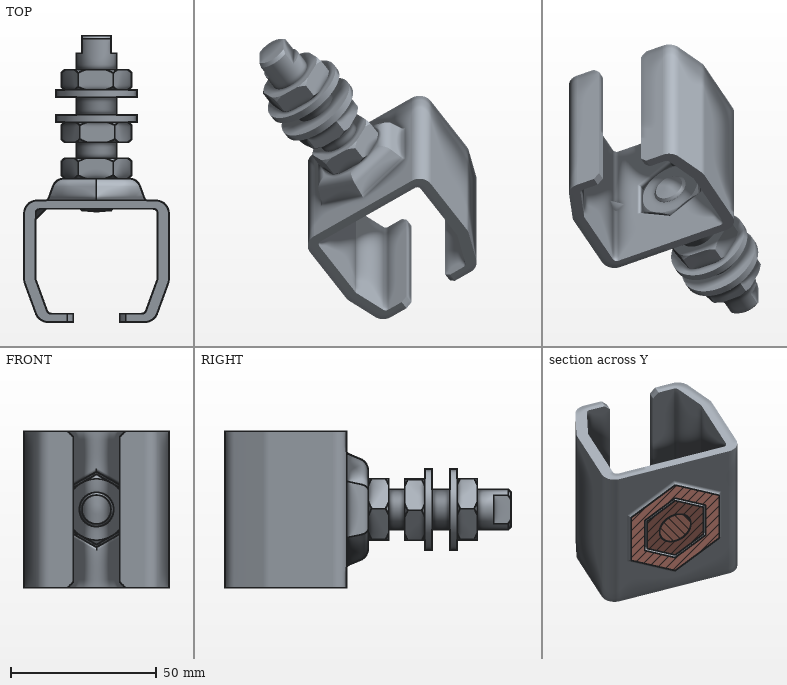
import cadquery as cq
import math


channel_width = 50.0
channel_depth = 42.0
channel_height = 54.0
side_thickness = 4.0
web_thickness = 3.0
lip_thickness = 3.0
slot_width = 16.0
side_lean = math.radians(20.0)
kink_depth = 27.8
bend_radius = 4.7
inner_bend_radius = 1.4
lip_chamfer = 2.0
half_width = channel_width / 2
half_inner = half_width - side_thickness
edge_reach = 0.1

boss_height = 7.5
boss_base_flats = 33.6
boss_draft = 20.0
boss_top_radius = 4.0
boss_base_radius = 1.0
boss_floor_thickness = web_thickness
recess_flats = 22.6
recess_mouth_radius = 1.0
floor_y = boss_height - boss_floor_thickness

rib_leg = 3.6
rib_half_height = 4.5
rib_root = 1.0

thread_diameter = 14.0
core_diameter = 11.84
clearance_diameter = 14.2
nut_flats = 21.0
nut_thickness = 7.0
nut_corners = nut_flats / math.cos(math.pi / 6)
nut_face_diameter = 22.0
recessed_nut_face_diameter = 21.1
nut_chamfer_angle = math.radians(45.0)
recessed_nut_chamfer_angle = math.radians(30.0)
washer_diameter = 28.0
washer_thickness = 2.5

stud_end_y = 56.67
stud_chamfer = (thread_diameter - core_diameter) / 2
drive_flats = 10.0
drive_length = 6.0
tip_start_y = -2.6
tip_chamfer = 0.92
tip_cone_height = 0.4

corners_on_z = 30.0
nut_turn = 1.6
inner_nut_y = floor_y - nut_thickness
clamp_nut_y = boss_height
middle_nut_y = 19.95
outer_nut_y = 38.0
nut_places = [
    (clamp_nut_y, -nut_turn),
    (middle_nut_y, nut_turn),
    (outer_nut_y, -nut_turn),
]
washer_places = [
    middle_nut_y + nut_thickness,
    outer_nut_y - washer_thickness,
]


def plane_at(y):
    """Sketch plane across the stud at position y, with its normal along +Y."""
    return cq.Plane(origin=(0, y, 0), xDir=(1, 0, 0), normal=(0, 1, 0))


def cylinder(y, diameter, length):
    return cq.Workplane(plane_at(y)).circle(diameter / 2).extrude(length)


def hexagon(y, flats, length, turn, taper=0.0):
    """Hexagonal prism along +Y; turn 0 puts a corner on X, turn 30 on Z."""
    corners = flats / math.cos(math.pi / 6)
    plane = plane_at(y).rotated((0, 0, turn))
    return cq.Workplane(plane).polygon(6, corners).extrude(length, taper=taper)


def bent_channel():
    """Bent channel over its full height, without the boss and the recess."""
    inward_slope = math.tan(side_lean)
    kink_rise = side_thickness * math.tan(side_lean / 2)
    inner_kink = kink_depth - kink_rise
    lip_inner = channel_depth - lip_thickness
    outer_foot = half_width - (channel_depth - kink_depth) * inward_slope
    inner_foot = half_inner - (lip_inner - inner_kink) * inward_slope
    half_slot = slot_width / 2
    right_side = [
        (half_width, 0),
        (half_width, -kink_depth),
        (outer_foot, -channel_depth),
        (half_slot, -channel_depth),
        (half_slot, -lip_inner),
        (inner_foot, -lip_inner),
        (half_inner, -inner_kink),
        (half_inner, -web_thickness),
    ]
    left_side = [(-x, y) for x, y in reversed(right_side)]
    body = (
        cq.Workplane("XY")
        .polyline(right_side + left_side)
        .close()
        .extrude(channel_height / 2, both=True)
    )

    def upright_edges(points):
        picked = cq.Workplane("XY")
        for x, y in points:
            for side in (-1, 1):
                picked = picked.add(body.edges(cq.selectors.NearestToPointSelector((side * x, y, 0))))
        return picked.vals()

    outer_bends = upright_edges(right_side[0:3])
    inner_bends = upright_edges([right_side[5], right_side[7]])
    solid = body.val().fillet(bend_radius, outer_bends)
    solid = solid.fillet(inner_bend_radius, inner_bends)
    body = cq.Workplane(solid)
    lip_corners = cq.selectors.BoxSelector(
        (-half_slot - edge_reach, -channel_depth - edge_reach, -channel_height),
        (half_slot + edge_reach, -lip_inner + edge_reach, channel_height),
    )
    return body.edges("|Y").edges(lip_corners).chamfer(lip_chamfer)


def corner_rib():
    """Rib in the inner corner at -X, widest at mid height and fading out above and below."""
    corner = cq.Vector(-half_inner - rib_root, -web_thickness + rib_root, 0)
    reach = rib_leg + 2 * rib_root
    along_web = corner + cq.Vector(reach, 0, 0)
    along_side = corner + cq.Vector(0, -reach, 0)
    top = corner + cq.Vector(0, 0, rib_half_height)
    bottom = corner - cq.Vector(0, 0, rib_half_height)
    triangles = []
    for apex in (top, bottom):
        triangles.append((along_web, along_side, apex))
    for tip in (along_web, along_side):
        triangles.append((corner, tip, top))
        triangles.append((corner, tip, bottom))
    faces = [cq.Face.makeFromWires(cq.Wire.makePolygon(t, close=True)) for t in triangles]
    return cq.Workplane(cq.Solid.makeSolid(cq.Shell.makeShell(faces)))


def make_boss():
    """Drafted hexagon standing on the web, rounded at the top and flared at the foot."""
    boss = hexagon(0, boss_base_flats, boss_height, corners_on_z, taper=boss_draft)
    return boss.faces(">Y").edges().fillet(boss_top_radius)


def make_channel():
    body = bent_channel().union(make_boss())
    foot_edges = cq.selectors.BoxSelector(
        (-half_inner, -edge_reach, -half_inner),
        (half_inner, edge_reach, half_inner),
    )
    body = body.edges(foot_edges).fillet(boss_base_radius)
    body = body.cut(hexagon(-web_thickness, recess_flats, web_thickness + floor_y, corners_on_z))
    mouth_edges = cq.selectors.BoxSelector(
        (-recess_flats / 2 - edge_reach, -web_thickness - edge_reach, -recess_flats),
        (recess_flats / 2 + edge_reach, -web_thickness + edge_reach, recess_flats),
    )
    body = body.edges(mouth_edges).fillet(recess_mouth_radius)
    body = body.cut(cylinder(floor_y, clearance_diameter, boss_floor_thickness))
    return body.union(corner_rib())


def make_nut(y, turn, bore, face_diameter, chamfer_angle):
    """Hexagon nut with its corners chamfered at both ends."""
    drop = (nut_corners - face_diameter) / 2 * math.tan(chamfer_angle)
    envelope = (
        cq.Workplane("XY")
        .moveTo(0, y)
        .lineTo(face_diameter / 2, y)
        .lineTo(nut_corners / 2, y + drop)
        .lineTo(nut_corners / 2, y + nut_thickness - drop)
        .lineTo(face_diameter / 2, y + nut_thickness)
        .lineTo(0, y + nut_thickness)
        .close()
        .revolve(360, (0, 0, 0), (0, 1, 0))
    )
    nut = hexagon(y, nut_flats, nut_thickness, turn).intersect(envelope)
    return nut.cut(cylinder(y, bore, nut_thickness))


def make_washer(y):
    washer = cylinder(y, washer_diameter, washer_thickness)
    return washer.cut(cylinder(y, clearance_diameter, washer_thickness))


def make_stud():
    """Stud with a reduced inner end, a shallow conical tip and two drive flats at the outer end."""
    thread_radius = thread_diameter / 2
    core_radius = core_diameter / 2
    tip_flat_y = tip_start_y - tip_chamfer
    stud = (
        cq.Workplane("XY")
        .moveTo(0, tip_flat_y - tip_cone_height)
        .lineTo(core_radius - tip_chamfer, tip_flat_y)
        .lineTo(core_radius, tip_start_y)
        .lineTo(core_radius, floor_y)
        .lineTo(thread_radius, floor_y)
        .lineTo(thread_radius, stud_end_y - stud_chamfer)
        .lineTo(core_radius, stud_end_y)
        .lineTo(0, stud_end_y)
        .close()
        .revolve(360, (0, 0, 0), (0, 1, 0))
    )
    for side in (-1, 1):
        waste = cq.Workplane("XY").box(thread_diameter, drive_length, thread_diameter)
        offset = side * (drive_flats + thread_diameter) / 2
        stud = stud.cut(waste.translate((offset, stud_end_y - drive_length / 2, 0)))
    return stud


channel = make_channel()
stud = make_stud()
recessed_nut = make_nut(
    inner_nut_y, corners_on_z, core_diameter, recessed_nut_face_diameter, recessed_nut_chamfer_angle
)
nuts = [
    make_nut(y, turn, thread_diameter, nut_face_diameter, nut_chamfer_angle)
    for y, turn in nut_places
]
washers = [make_washer(y) for y in washer_places]

result = cq.Compound.makeCompound(
    [
        channel.val(),
        stud.val(),
        recessed_nut.val(),
        *[nut.val() for nut in nuts],
        *[washer.val() for washer in washers],
    ]
)